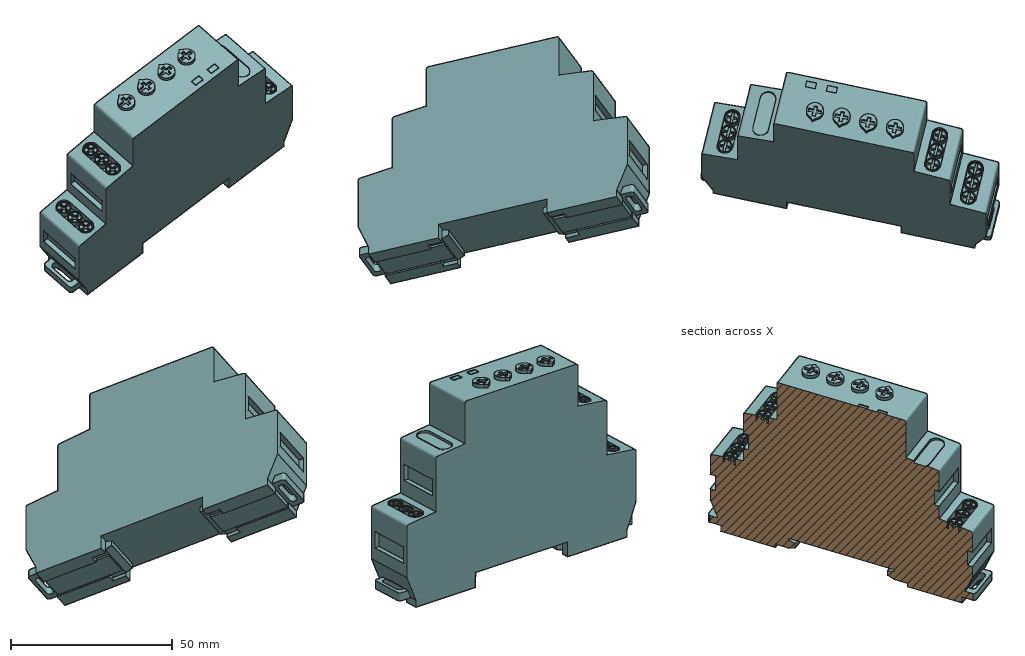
import cadquery as cq

housing_width = 17.8
overall_length = 92.0
overall_height = 65.9
knob_height = 1.2
top_z = overall_height - knob_height

top_half_length = 22.3
middle_half_length = 33.7
lower_half_length = 45.1
foot_half_length = 41.5
rail_half_length = 18.1
rail_recess_height = 5.1

lower_step_z = 30.3
tier_pitch = 20.0
middle_step_z = lower_step_z + tier_pitch
shoulder_slope = 0.11
taper_top_z = 11.1
taper_bottom_z = 2.4
edge_radius = 0.9

label_width = 14.2
label_height = 5.5
label_depth = 1.7
lower_label_z = 18.2
label_pitch = 19.7
middle_label_z = lower_label_z + label_pitch

recess_length = 14.9
recess_width = 4.9
recess_depth = 2.2
lower_recess_y = 38.55
middle_recess_y = 27.2
blank_recess_depth = 0.55

screw_pitch = 5.0
screw_radius = 2.2
screw_face_radius = 1.9
screw_face_drop = 0.3
screw_top_drop = 0.2
screw_slot_depth = 0.7
screw_slot_width = 0.7
screw_slot_length = 2 * screw_face_radius
screw_cross_length = 2.9

knob_radius = 2.7
knob_x = -2.3
knob_pitch = 8.5
knob_count = 4
last_knob_y = -14.7
pointer_reach = 3.4
pointer_side = 1.8
knob_cross_x = -2.5
knob_cross_width = 1.0
knob_cross_length_x = 3.3
knob_cross_length_y = 4.05
knob_cross_depth = 0.7

lamp_x = 6.3
lamp_ys = (13.9, 7.3)
lamp_width = 1.9
lamp_length = 3.1
lamp_height = 0.2

clip_width = 12.6
clip_bottom_z = 2.3
clip_end_y = overall_length / 2
clip_corner_radius = 1.0
neck_width = 8.0
neck_bottom_z = 0.55
open_channel_length = 4.6
eye_length = 8.7
eye_width = 2.5
eye_wall = 1.2
hook_reach = 2.3
hook_root_bottom_z = 1.3
hook_root_top_z = 4.6
hook_tip_bottom_z = 2.2
hook_tip_top_z = 4.0


def box(x_size, y_range, z_range):
    """Box centred on X = 0 between two Y and two Z limits."""
    y_size = y_range[1] - y_range[0]
    z_size = z_range[1] - z_range[0]
    return (
        cq.Workplane("XY")
        .box(x_size, y_size, z_size, centered=(True, False, False))
        .translate((0, y_range[0], z_range[0]))
    )


def both_ends(shape):
    """A shape at the +Y end together with its mirror image at the -Y end."""
    return shape.union(shape.mirror("XZ"))


def shoulder_z(y, step_y, step_z):
    """Height of a sloping shoulder at a distance y from the middle."""
    return step_z - (y - step_y) * shoulder_slope


def make_housing():
    middle_edge_z = shoulder_z(middle_half_length, top_half_length, middle_step_z)
    lower_edge_z = shoulder_z(lower_half_length, middle_half_length, lower_step_z)
    half_outline = [
        (rail_half_length, rail_recess_height),
        (rail_half_length, 0),
        (foot_half_length, 0),
        (foot_half_length, taper_bottom_z),
        (lower_half_length, taper_top_z),
        (lower_half_length, lower_edge_z),
        (middle_half_length, lower_step_z),
        (middle_half_length, middle_edge_z),
        (top_half_length, middle_step_z),
        (top_half_length, top_z),
    ]
    other_half = [(-y, z) for y, z in reversed(half_outline)]
    housing = (
        cq.Workplane("YZ")
        .polyline(half_outline + other_half)
        .close()
        .extrude(housing_width / 2, both=True)
    )
    rounded_edges = [
        (top_half_length, top_z),
        (middle_half_length, middle_edge_z),
        (lower_half_length, lower_edge_z),
    ]
    for y, z in rounded_edges:
        for side in (1, -1):
            edge = cq.selectors.NearestToPointSelector((0, side * y, z))
            housing = housing.edges(edge).fillet(edge_radius)
    return housing


def make_label_pockets():
    lower = box(
        label_width,
        (lower_half_length - label_depth, lower_half_length),
        (lower_label_z - label_height / 2, lower_label_z + label_height / 2),
    )
    middle = box(
        label_width,
        (middle_half_length - label_depth, middle_half_length),
        (middle_label_z - label_height / 2, middle_label_z + label_height / 2),
    )
    return both_ends(lower.union(middle))


def make_recess(y, surface_z, depth):
    """Upright obround cutter with a level floor, tall enough to clear the slope."""
    return (
        cq.Workplane("XY", origin=(0, y, surface_z - depth))
        .slot2D(recess_length, recess_width)
        .extrude(depth + recess_width * shoulder_slope)
    )


def make_cross(x, y, top, size_x, size_y, slot_width, depth):
    """Cross-shaped screwdriver cutter reaching down from a level face."""
    return (
        cq.Workplane("XY", origin=(x, y, top))
        .rect(size_x, slot_width)
        .extrude(-depth)
        .union(cq.Workplane("XY", origin=(x, y, top)).rect(slot_width, size_y).extrude(-depth))
    )


def add_terminals(body, y, surface_z):
    """Recess with three rimmed cross-slot screws in it."""
    body = body.cut(make_recess(y, surface_z, recess_depth))
    face_z = surface_z - screw_top_drop - screw_face_drop
    for x in (-screw_pitch, 0, screw_pitch):
        screw = (
            cq.Workplane("XY", origin=(x, y, surface_z - recess_depth))
            .circle(screw_radius)
            .extrude(recess_depth - screw_top_drop)
        )
        face = cq.Workplane("XY", origin=(x, y, face_z)).circle(screw_face_radius).extrude(screw_face_drop)
        cross = make_cross(
            x, y, face_z, screw_slot_length, screw_cross_length, screw_slot_width, screw_slot_depth
        )
        body = body.union(screw.cut(face).cut(cross))
    return body


def make_knob(y):
    """Round knob with a pointer towards -X and a cross slot."""
    disc = cq.Workplane("XY", origin=(knob_x, y, top_z)).circle(knob_radius).extrude(knob_height)
    pointer = (
        cq.Workplane("XY", origin=(knob_x, y, top_z))
        .polyline(
            [
                (-pointer_reach, 0),
                (-pointer_reach + pointer_side, -pointer_side),
                (-pointer_reach + pointer_side, pointer_side),
            ]
        )
        .close()
        .extrude(knob_height)
    )
    cross = make_cross(
        knob_cross_x, y, overall_height,
        knob_cross_length_x, knob_cross_length_y, knob_cross_width, knob_cross_depth,
    )
    return disc.union(pointer).cut(cross)


def make_channel():
    """T-shaped channel through the +Y foot, open to full width next to the rail."""
    wide = box(clip_width, (rail_half_length, lower_half_length), (clip_bottom_z, rail_recess_height))
    narrow = box(neck_width, (rail_half_length, foot_half_length), (0, clip_bottom_z))
    mouth = box(
        clip_width,
        (rail_half_length, rail_half_length + open_channel_length),
        (0, rail_recess_height),
    )
    return wide.union(narrow).union(mouth)


def make_clip():
    """Rail clip at the +Y end: slide, neck, pull eye and rail hook."""
    slide = (
        box(clip_width, (rail_half_length, clip_end_y), (clip_bottom_z, rail_recess_height))
        .edges("|Z and >Y")
        .fillet(clip_corner_radius)
    )
    eye = (
        cq.Workplane("XY", origin=(0, clip_end_y - eye_wall - eye_width / 2, clip_bottom_z))
        .slot2D(eye_length, eye_width)
        .extrude(rail_recess_height - clip_bottom_z)
    )
    neck_end_y = clip_end_y - eye_wall - eye_width - eye_wall
    neck = box(neck_width, (rail_half_length, neck_end_y), (neck_bottom_z, clip_bottom_z))
    hook = (
        cq.Workplane("YZ")
        .polyline(
            [
                (rail_half_length + open_channel_length, hook_root_bottom_z),
                (rail_half_length, hook_root_bottom_z),
                (rail_half_length - hook_reach, hook_tip_bottom_z),
                (rail_half_length - hook_reach, hook_tip_top_z),
                (rail_half_length, hook_root_top_z),
                (rail_half_length + open_channel_length, hook_root_top_z),
            ]
        )
        .close()
        .extrude(clip_width / 2, both=True)
    )
    return slide.cut(eye).union(neck).union(hook)


lower_recess_z = shoulder_z(lower_recess_y, middle_half_length, lower_step_z)
middle_recess_z = shoulder_z(middle_recess_y, top_half_length, middle_step_z)

result = make_housing().cut(make_label_pockets())

result = add_terminals(result, lower_recess_y, lower_recess_z)
result = add_terminals(result, -lower_recess_y, lower_recess_z)
result = add_terminals(result, -middle_recess_y, middle_recess_z)
result = result.cut(make_recess(middle_recess_y, middle_recess_z, blank_recess_depth))

for knob_index in range(knob_count):
    result = result.union(make_knob(last_knob_y + knob_index * knob_pitch))

for lamp_y in lamp_ys:
    lamp = cq.Workplane("XY", origin=(lamp_x, lamp_y, top_z)).rect(lamp_width, lamp_length)
    result = result.union(lamp.extrude(lamp_height))

result = result.cut(both_ends(make_channel())).union(both_ends(make_clip()))